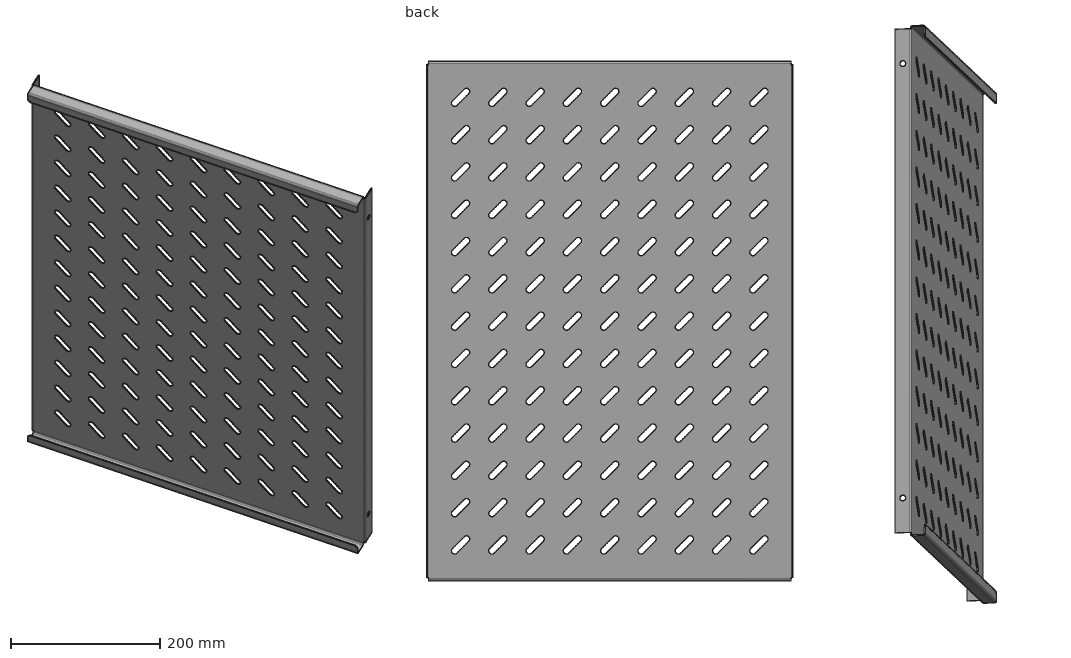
import cadquery as cq
import math

WIDTH = 492.0
DEPTH = 41.0
HEIGHT = 697.0

THICKNESS = 1.5
SIDE_BEND = 2.45
END_BEND = 3.15
LIP_HEIGHT = 15.0
LIP_CHAMFER = 3.5
SIDE_FLANGE_DEPTH = 22.0

SIDE_NOTCH = 4.5
END_NOTCH = 3.0
SIDE_FLANGE_HEIGHT = HEIGHT - 2 * SIDE_NOTCH
END_FLANGE_WIDTH = WIDTH - 2 * END_NOTCH

SLOT_COLUMNS = 9
SLOT_ROWS = 13
SLOT_SPAN = 400.0
SLOT_PITCH = SLOT_SPAN / (SLOT_COLUMNS - 1)
SLOT_LENGTH = 31.0
SLOT_WIDTH = 8.5
SLOT_ANGLE = -45

HOLE_DIAMETER = 8.0
HOLE_SPACING = 593.0
HOLE_Y = 10.0

FRONT = DEPTH / 2 - SIDE_FLANGE_DEPTH
BACK = FRONT + THICKNESS
DIAGONAL = math.sqrt(0.5)


def bend_point(center, direction, radius):
    """Middle point of a quarter bend; direction holds the signs toward its outside."""
    return tuple(c + d * radius * DIAGONAL for c, d in zip(center, direction))


def make_web():
    """Flat panel with a square grid of diagonal slots."""
    web = cq.Workplane("XY").box(WIDTH - 2 * SIDE_BEND, THICKNESS, HEIGHT - 2 * END_BEND)
    web = web.translate((0, (FRONT + BACK) / 2, 0))
    slots = (
        cq.Workplane("XZ")
        .rarray(SLOT_PITCH, SLOT_PITCH, SLOT_COLUMNS, SLOT_ROWS)
        .slot2D(SLOT_LENGTH, SLOT_WIDTH, SLOT_ANGLE)
        .extrude(DEPTH, both=True)
    )
    return web.cut(slots)


def make_side_flange():
    """Fold at the +X edge, turned back toward +Y, with its fixing holes."""
    outer_x = WIDTH / 2
    center = (outer_x - SIDE_BEND, FRONT + SIDE_BEND)
    tip_y = DEPTH / 2
    flange = (
        cq.Workplane("XY")
        .moveTo(center[0], FRONT)
        .threePointArc(bend_point(center, (1, -1), SIDE_BEND), (outer_x, center[1]))
        .lineTo(outer_x, tip_y)
        .lineTo(outer_x - THICKNESS, tip_y)
        .lineTo(outer_x - THICKNESS, center[1])
        .threePointArc(bend_point(center, (1, -1), SIDE_BEND - THICKNESS), (center[0], BACK))
        .close()
        .extrude(SIDE_FLANGE_HEIGHT / 2, both=True)
    )
    holes = (
        cq.Workplane("YZ")
        .pushPoints([(HOLE_Y, HOLE_SPACING / 2), (HOLE_Y, -HOLE_SPACING / 2)])
        .circle(HOLE_DIAMETER / 2)
        .extrude(WIDTH)
    )
    return flange.cut(holes)


def make_end_flange():
    """Fold at the +Z edge, turned toward -Y, with a lip folded down in front of the web."""
    top = HEIGHT / 2
    tip_y = -DEPTH / 2
    bend_z = top - END_BEND
    web_center = (BACK - END_BEND, bend_z)
    lip_center = (tip_y + END_BEND, bend_z)
    flange = (
        cq.Workplane("YZ")
        .moveTo(BACK, bend_z)
        .threePointArc(bend_point(web_center, (1, 1), END_BEND), (web_center[0], top))
        .lineTo(lip_center[0], top)
        .threePointArc(bend_point(lip_center, (-1, 1), END_BEND), (tip_y, bend_z))
        .lineTo(tip_y, top - LIP_HEIGHT)
        .lineTo(tip_y + THICKNESS, top - LIP_HEIGHT)
        .lineTo(tip_y + THICKNESS, bend_z)
        .threePointArc(
            bend_point(lip_center, (-1, 1), END_BEND - THICKNESS), (lip_center[0], top - THICKNESS)
        )
        .lineTo(web_center[0], top - THICKNESS)
        .threePointArc(bend_point(web_center, (1, 1), END_BEND - THICKNESS), (FRONT, bend_z))
        .close()
        .extrude(END_FLANGE_WIDTH / 2, both=True)
    )
    return flange.faces("<Z").edges("|Y").edges("<X or >X").chamfer(LIP_CHAMFER)


side_flange = make_side_flange()
end_flange = make_end_flange()

result = (
    make_web()
    .union(side_flange)
    .union(side_flange.mirror("YZ"))
    .union(end_flange)
    .union(end_flange.mirror("XY"))
)